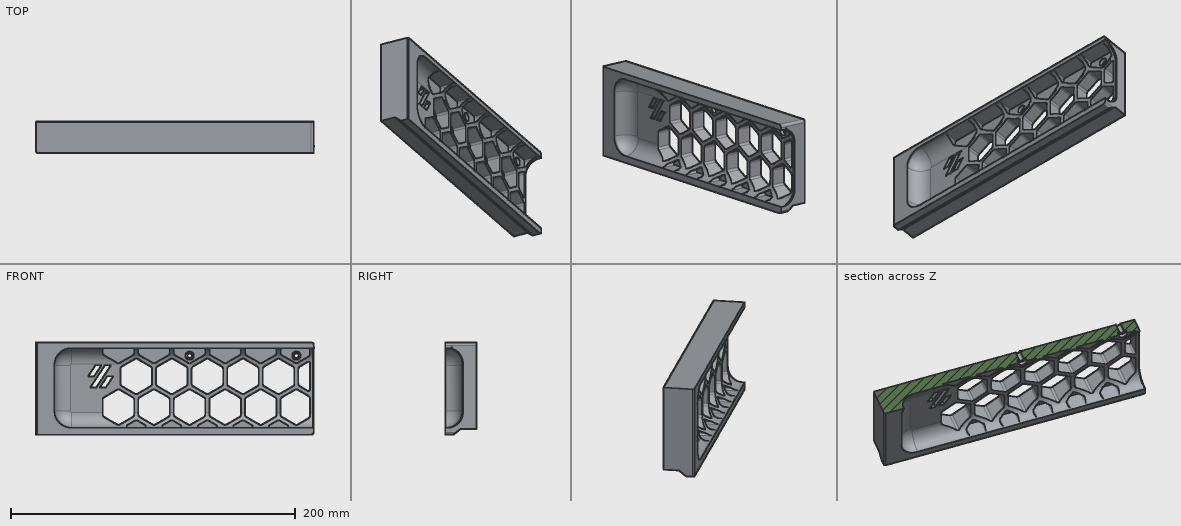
import cadquery as cq
import math

LENGTH = 195.3
DEPTH = 22.4
HEIGHT = 65.0
FRONT_CHAMFER = 1.0
BACK_CHAMFER = 0.6
END_RADIUS = 2.0

REBATE_HEIGHT = 4.0
REBATE_START = 5.8
REBATE_RUN = 5.0

CAVITY_LEFT = 13.0
CAVITY_BOTTOM = 5.0
CAVITY_TOP = 61.0
CAVITY_DEPTH = 12.0
CAVITY_CORNER_RADIUS = 12.0
CAVITY_FLOOR_RADIUS = 11.0
FLOOR_END_CHAMFER = 0.7

HEX_FLATS = 22.0
HEX_PITCH = 25.0
HEX_ROW_STEP = HEX_PITCH * math.sin(math.radians(60))
HEX_CORNER_RADIUS = 2.0
HEX_TRIM_RADIUS = 1.0
HEX_FIRST_X = 58.0
HEX_FIRST_Z = 19.45
END_WALL = 2.8
HEX_RIGHT_LIMIT = LENGTH - END_WALL
HEX_COLUMNS = 6

SCREW_DIAMETER = 3.2
SCREW_HEAD_DIAMETER = 6.0
SCREW_HEAD_DEPTH = 3.0
SCREW_Z = 55.6
SCREW_COLUMNS = (2, 5)

PIP_DIAMETER = 0.6
PIP_LENGTH = 0.2
PIP_Y = 4.7
PIP_Z = CAVITY_TOP + PIP_DIAMETER / 2

SLOT_WIDTH = 4.1
SLOT_CENTER_X = HEX_FIRST_X - HEX_PITCH / 2
SLOT_CENTER_Z = HEX_FIRST_Z + HEX_ROW_STEP
SLOT_HALF_HEIGHT = 7.7
SLOT_LEAN = 0.66
SLOT_SPACING = 6.7


def front_plane():
    """XZ sketch plane on the front face; negative extrusions go toward the back."""
    return cq.Workplane("XZ")


def make_body():
    slope_end = REBATE_START + REBATE_RUN
    profile = [
        (0, 0),
        (REBATE_START, 0),
        (slope_end, REBATE_HEIGHT),
        (DEPTH, REBATE_HEIGHT),
        (DEPTH, HEIGHT),
        (0, HEIGHT),
    ]
    body = cq.Workplane("YZ").polyline(profile).close().extrude(LENGTH)
    body = body.edges(">X and >Z").fillet(END_RADIUS)
    body = body.edges(">X and <Z").fillet(END_RADIUS)
    body = body.edges("<X and <Y").chamfer(FRONT_CHAMFER)
    return body.faces(">Y").edges("not(>X)").chamfer(BACK_CHAMFER)


def make_cavity():
    overrun = CAVITY_FLOOR_RADIUS + CAVITY_CORNER_RADIUS
    width = LENGTH + overrun - CAVITY_LEFT
    height = CAVITY_TOP - CAVITY_BOTTOM
    cavity = (
        cq.Workplane("XY")
        .box(width, CAVITY_DEPTH, height, centered=False)
        .translate((CAVITY_LEFT, 0, CAVITY_BOTTOM))
    )
    cavity = cavity.edges("|Y").fillet(CAVITY_CORNER_RADIUS)
    return cavity.faces(">Y").edges().fillet(CAVITY_FLOOR_RADIUS)


def make_floor_end_chamfer():
    """Cavity cross-section sinking deeper toward the right end."""
    start_x = LENGTH - FLOOR_END_CHAMFER

    def section(x, shift):
        arc_y = CAVITY_DEPTH - CAVITY_FLOOR_RADIUS + shift
        floor_y = CAVITY_DEPTH + shift
        reach = CAVITY_FLOOR_RADIUS * math.sqrt(0.5)
        low_z = CAVITY_BOTTOM + CAVITY_FLOOR_RADIUS
        high_z = CAVITY_TOP - CAVITY_FLOOR_RADIUS
        return (
            cq.Workplane("YZ", origin=(x, 0, 0))
            .moveTo(0, CAVITY_BOTTOM)
            .lineTo(arc_y, CAVITY_BOTTOM)
            .threePointArc((arc_y + reach, low_z - reach), (floor_y, low_z))
            .lineTo(floor_y, high_z)
            .threePointArc((arc_y + reach, high_z + reach), (arc_y, CAVITY_TOP))
            .lineTo(0, CAVITY_TOP)
            .close()
            .wires()
            .val()
        )

    sections = [section(start_x, 0), section(LENGTH, FLOOR_END_CHAMFER)]
    return cq.Workplane(cq.Solid.makeLoft(sections, True))


def is_on_limit(edge):
    """True for an edge lying on the bottom, top or right limit of the honeycomb."""
    center = edge.Center()
    on_side = math.isclose(center.x, HEX_RIGHT_LIMIT)
    return on_side or any(math.isclose(center.z, z) for z in (CAVITY_BOTTOM, CAVITY_TOP))


def hex_prism(column, row, end_y):
    """Hexagon trimmed to the honeycomb limits, with rounded corners, from y = 0 to end_y."""
    x = HEX_FIRST_X + column * HEX_PITCH + (row % 2) * HEX_PITCH / 2
    z = HEX_FIRST_Z + row * HEX_ROW_STEP
    across_corners = HEX_FLATS / math.cos(math.radians(30))
    prism = (
        front_plane()
        .center(x, z)
        .polygon(6, across_corners)
        .extrude(-end_y)
        .rotate((x, 0, z), (x, 1, z), 30)
        .edges("|Y")
        .fillet(HEX_CORNER_RADIUS)
    )
    limits = cq.Workplane("XY").box(
        HEX_RIGHT_LIMIT, end_y, CAVITY_TOP - CAVITY_BOTTOM, centered=False
    )
    prism = prism.intersect(limits.translate((0, 0, CAVITY_BOTTOM)))
    trimmed_edges = prism.edges("|Y").filter(is_on_limit)
    if trimmed_edges.size() == 0:
        return prism
    return trimmed_edges.fillet(HEX_CORNER_RADIUS if row == 0 else HEX_TRIM_RADIUS)


def cut_honeycomb(body):
    row_ends = {-1: CAVITY_DEPTH, 0: DEPTH, 1: DEPTH, 2: CAVITY_DEPTH}
    for row, end_y in row_ends.items():
        columns = HEX_COLUMNS - 1 if row == -1 else HEX_COLUMNS
        for column in range(columns):
            body = body.cut(hex_prism(column, row, end_y))
    return body


def cut_screw_holes(body):
    points = [(HEX_FIRST_X + column * HEX_PITCH, SCREW_Z) for column in SCREW_COLUMNS]
    head_end = CAVITY_DEPTH + SCREW_HEAD_DEPTH
    heads = front_plane().pushPoints(points).circle(SCREW_HEAD_DIAMETER / 2).extrude(-head_end)
    holes = front_plane().pushPoints(points).circle(SCREW_DIAMETER / 2).extrude(-DEPTH)
    return body.cut(heads).cut(holes)


def slot_prism(offset, low, high):
    """Leaning slot; offset is along X at mid height, low and high are measured from mid height."""
    half = SLOT_WIDTH / 2
    corners = [
        (offset - half + low * SLOT_LEAN, low),
        (offset + half + low * SLOT_LEAN, low),
        (offset + half + high * SLOT_LEAN, high),
        (offset - half + high * SLOT_LEAN, high),
    ]
    sketch = front_plane().center(SLOT_CENTER_X, SLOT_CENTER_Z)
    return sketch.polyline(corners).close().extrude(-DEPTH)


def cut_slots(body):
    body = body.cut(slot_prism(-SLOT_SPACING, 0, SLOT_HALF_HEIGHT))
    body = body.cut(slot_prism(0, -SLOT_HALF_HEIGHT, SLOT_HALF_HEIGHT))
    return body.cut(slot_prism(SLOT_SPACING, -SLOT_HALF_HEIGHT, 0))


def add_pip(body):
    pip = (
        cq.Workplane("YZ", origin=(LENGTH, 0, 0))
        .center(PIP_Y, PIP_Z)
        .circle(PIP_DIAMETER / 2)
        .extrude(PIP_LENGTH)
    )
    return body.union(pip)


result = make_body().cut(make_cavity()).cut(make_floor_end_chamfer())
result = cut_honeycomb(result)
result = cut_screw_holes(result)
result = cut_slots(result)
result = add_pip(result)